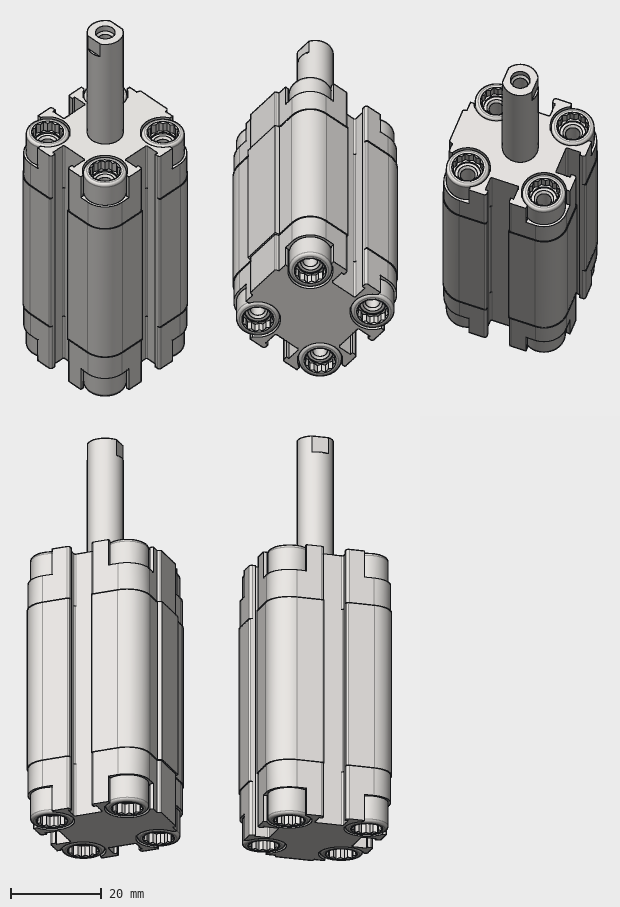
import cadquery as cq
import math

housing_length = 63.0
cap_length = 12.5
barrel_length = housing_length - 2 * cap_length
rod_stickout = 29.5

screw_pitch = 18.0
screw_offset = screw_pitch / 2
barrel_half_width = 14.5
cap_setback = 0.2
cap_half_width = barrel_half_width - cap_setback

slot_half_opening = 2.65
slot_half_width = 3.35
slot_floor = 9.6
slot_lip_inside = 13.0
barrel_lip_radius = 0.3
cap_lip_radius = 0.55
barrel_floor_radius = 0.2
cap_floor_radius = 0.35

barrel_pad_height = 1.0
cap_pad_height = 0.85
pad_half_base = 4.9
pad_half_top = 4.6
cap_pad_inset = 0.35
cap_pad_radius = 0.3

recess_diameter = 10.0
recess_depth = 6.1
recess_corner_reach = 2.25
collar_diameter = 9.5
collar_edge_radius = 0.7
socket_width = 6.1
socket_depth = 2.6
socket_mouth_diameter = 7.1
socket_mouth_depth = 0.4
relief_diameter = 5.7
relief_depth = 0.4
screw_bore_diameter = 3.24
screw_bore_mouth_diameter = 4.3

rod_diameter = 8.0
rod_flat_width = 7.0
rod_flat_length = 3.75
rod_bore_diameter = 3.24
rod_bore_mouth_diameter = 4.3
rod_bore_mouth_depth = 1.5
rod_bore_depth = 8.0
drill_tip_angle = 118.0


def slot_cutter(half_width, lip_radius, floor_radius, length):
    """T-slot open toward -Y, with rounded mouth edges and rounded floor corners."""
    round_mid = 1 - math.sqrt(0.5)
    lip_start = slot_half_opening + lip_radius
    lip_mid = slot_half_opening + round_mid * lip_radius
    floor_end = slot_half_width - floor_radius
    floor_mid = slot_half_width - round_mid * floor_radius
    return (
        cq.Workplane("XY")
        .moveTo(-lip_start, -half_width)
        .threePointArc(
            (-lip_mid, -half_width + round_mid * lip_radius),
            (-slot_half_opening, -half_width + lip_radius),
        )
        .lineTo(-slot_half_opening, -slot_lip_inside)
        .lineTo(-slot_half_width, -slot_lip_inside)
        .lineTo(-slot_half_width, -slot_floor - floor_radius)
        .threePointArc(
            (-floor_mid, -slot_floor - round_mid * floor_radius),
            (-floor_end, -slot_floor),
        )
        .lineTo(floor_end, -slot_floor)
        .threePointArc(
            (floor_mid, -slot_floor - round_mid * floor_radius),
            (slot_half_width, -slot_floor - floor_radius),
        )
        .lineTo(slot_half_width, -slot_lip_inside)
        .lineTo(slot_half_opening, -slot_lip_inside)
        .lineTo(slot_half_opening, -half_width + lip_radius)
        .threePointArc(
            (lip_mid, -half_width + round_mid * lip_radius),
            (lip_start, -half_width),
        )
        .close()
        .extrude(length)
    )


def pad(half_width, height, inset, edge_radius, length):
    """Pad on the +Y side with sloping flanks; its root starts at the slot floor level."""
    half_base = pad_half_base - inset
    half_top = pad_half_top - inset
    top = half_width + height
    block = (
        cq.Workplane("XY")
        .polyline([
            (-half_base, slot_floor),
            (-half_base, half_width),
            (-half_top, top),
            (half_top, top),
            (half_base, half_width),
            (half_base, slot_floor),
        ])
        .close()
        .extrude(length)
    )
    if edge_radius > 0:
        block = block.faces(">Y").edges("|Z").fillet(edge_radius)
    return block


def housing_section(half_width, lip_radius, floor_radius, pad_height, pad_inset, pad_radius, length):
    """Rounded square with the pad and the three slots, standing on Z = 0."""
    section = (
        cq.Workplane("XY")
        .rect(2 * half_width, 2 * half_width)
        .extrude(length)
        .edges("|Z")
        .fillet(half_width - screw_offset)
        .union(pad(half_width, pad_height, pad_inset, pad_radius, length))
    )
    cutter = slot_cutter(half_width, lip_radius, floor_radius, length)
    for angle in (-90, 0, 90):
        section = section.cut(cutter.rotate((0, 0, 0), (0, 0, 1), angle))
    return section


def corner_recess():
    """Pocket around one screw, below Z = 0, open toward the +X +Y corner."""
    reach = barrel_half_width - screw_offset + recess_corner_reach
    corner_center = reach / 2 - recess_corner_reach
    corner = (
        cq.Workplane("XY")
        .center(corner_center, corner_center)
        .rect(reach, reach)
        .extrude(-recess_depth)
    )
    return cq.Workplane("XY").circle(recess_diameter / 2).extrude(-recess_depth).union(corner)


def screw_collar():
    """Rounded collar with its top on Z = 0."""
    return (
        cq.Workplane("XY")
        .circle(collar_diameter / 2)
        .extrude(-recess_depth)
        .faces(">Z")
        .edges()
        .fillet(collar_edge_radius)
    )


def screw_socket():
    """Twelve-point socket with a conical mouth, relief and countersink, below Z = 0."""
    corner_diameter = socket_width / math.cos(math.pi / 6)
    socket = cq.Workplane("XY").polygon(6, corner_diameter).extrude(-socket_depth)
    socket = socket.union(socket.rotate((0, 0, 0), (0, 0, 1), 30))
    relief = cq.Workplane("XY").circle(relief_diameter / 2).extrude(-socket_depth - relief_depth)
    sink_depth = (screw_bore_mouth_diameter - screw_bore_diameter) / 2
    sink = (
        cq.Workplane("XY")
        .workplane(offset=-socket_depth - relief_depth)
        .circle(screw_bore_mouth_diameter / 2)
        .workplane(offset=-sink_depth)
        .circle(screw_bore_diameter / 2)
        .loft()
    )
    mouth = (
        cq.Workplane("XY")
        .circle(socket_mouth_diameter / 2)
        .workplane(offset=-socket_mouth_depth)
        .circle(socket_width / 2)
        .loft()
    )
    return socket.union(mouth).union(relief).union(sink)


def at_screws(shape):
    """Copies of a +X +Y corner feature at the four corners of both end faces."""
    top = shape.translate((screw_offset, screw_offset, housing_length))
    bottom = top.mirror("XY", (0, 0, housing_length / 2))
    for end in (top, bottom):
        for quarter in range(4):
            yield end.rotate((0, 0, 0), (0, 0, 1), 90 * quarter)


def make_housing():
    cap = housing_section(
        cap_half_width,
        cap_lip_radius,
        cap_floor_radius,
        cap_pad_height,
        cap_pad_inset,
        cap_pad_radius,
        cap_length,
    )
    barrel = housing_section(
        barrel_half_width,
        barrel_lip_radius,
        barrel_floor_radius,
        barrel_pad_height,
        0,
        0,
        barrel_length,
    )
    housing = (
        barrel.translate((0, 0, cap_length))
        .union(cap)
        .union(cap.translate((0, 0, cap_length + barrel_length)))
        .clean()
    )
    for recess in at_screws(corner_recess()):
        housing = housing.cut(recess)
    for collar in at_screws(screw_collar()):
        housing = housing.union(collar)
    for socket in at_screws(screw_socket()):
        housing = housing.cut(socket)
    screw_bores = (
        cq.Workplane("XY")
        .rect(screw_pitch, screw_pitch, forConstruction=True)
        .vertices()
        .circle(screw_bore_diameter / 2)
        .extrude(housing_length)
    )
    rod_hole = (
        cq.Workplane("XY")
        .workplane(offset=housing_length)
        .circle(rod_diameter / 2)
        .extrude(-cap_length)
    )
    return housing.cut(screw_bores).cut(rod_hole)


def rod_bore():
    """Blind bore with a wider mouth, a conical step and a drill tip, entering downward from Z = 0."""
    mouth_radius = rod_bore_mouth_diameter / 2
    bore_radius = rod_bore_diameter / 2
    sink_depth = mouth_radius - bore_radius
    tip_depth = bore_radius / math.tan(math.radians(drill_tip_angle / 2))
    return (
        cq.Workplane("XZ")
        .polyline([
            (0, 0),
            (mouth_radius, 0),
            (mouth_radius, -rod_bore_mouth_depth),
            (bore_radius, -rod_bore_mouth_depth - sink_depth),
            (bore_radius, -rod_bore_depth),
            (0, -rod_bore_depth - tip_depth),
        ])
        .close()
        .revolve(360, (0, 0), (0, 1))
    )


def make_rod():
    """Rod rising from its hole in the upper cap, with two wrench flats at the free end."""
    rod_end = housing_length + rod_stickout
    rod = (
        cq.Workplane("XY")
        .workplane(offset=housing_length - cap_length)
        .circle(rod_diameter / 2)
        .extrude(cap_length + rod_stickout)
    )
    flat_depth = (rod_diameter - rod_flat_width) / 2
    for side in (-1, 1):
        flat = (
            cq.Workplane("XY")
            .workplane(offset=rod_end)
            .center(0, side * (rod_flat_width + flat_depth) / 2)
            .rect(rod_diameter, flat_depth)
            .extrude(-rod_flat_length)
        )
        rod = rod.cut(flat)
    return rod.cut(rod_bore().translate((0, 0, rod_end)))


housing = make_housing()
rod = make_rod()

result = cq.Compound.makeCompound([housing.solids().val(), rod.solids().val()])